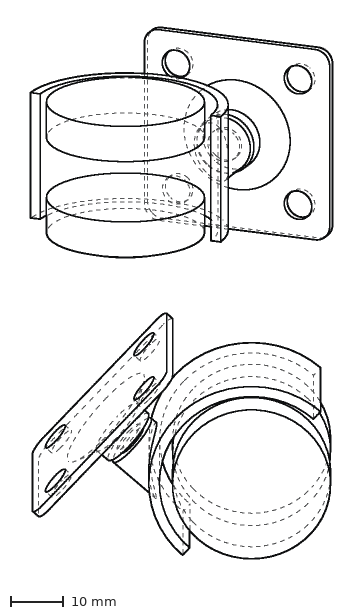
import cadquery as cq

overall_length = 50.5

wheel_radius = 15.0
wheel_gap = 12.0
rim_width = 7.0
dome_height = 3.0

hood_radius = 19.5
hood_wall = 2.0
hood_width = 25.0
post_diameter = 11.0
post_top = 19.7
post_foot = 5.05

plate_side = 38.0
plate_thickness = 1.5
plate_back = 28.0
corner_radius = 3.0
hole_diameter = 5.6
hole_spacing = 25.0

cone_diameter = 21.8
cone_height = 2.85
collar_diameter = 11.7
collar_height = 3.0
neck_diameter = 6.5

hood_inner_radius = hood_radius - hood_wall
swivel_x = overall_length - hood_radius - plate_side / 2
plate_front = plate_back - plate_thickness
collar_top = plate_front - cone_height
collar_bottom = collar_top - collar_height


def swivel_plane(y):
    """Workplane centred on the swivel axis at y, facing +Y."""
    return cq.Workplane(cq.Plane(origin=(swivel_x, y, 0), xDir=(1, 0, 0), normal=(0, 1, 0)))


def make_plate():
    """Square plate with four screw holes and a revolved cone, collar and neck."""
    base = (
        swivel_plane(plate_front)
        .rect(plate_side, plate_side)
        .extrude(plate_thickness)
        .edges("|Y")
        .fillet(corner_radius)
    )
    holes = (
        swivel_plane(plate_front)
        .rect(hole_spacing, hole_spacing, forConstruction=True)
        .vertices()
        .circle(hole_diameter / 2)
        .extrude(plate_thickness)
    )
    seat = (
        cq.Workplane("XY", origin=(swivel_x, 0, 0))
        .moveTo(0, plate_front)
        .lineTo(cone_diameter / 2, plate_front)
        .lineTo(collar_diameter / 2, collar_top)
        .lineTo(collar_diameter / 2, collar_bottom)
        .lineTo(neck_diameter / 2, collar_bottom)
        .lineTo(neck_diameter / 2, post_top)
        .lineTo(0, post_top)
        .close()
        .revolve(360, (0, 0, 0), (0, 1, 0))
    )
    return base.cut(holes).union(seat)


def make_hood():
    """Half-ring hood with a round post that stops at the hood's inner surface."""
    hood = (
        cq.Workplane("XY")
        .moveTo(-hood_radius, 0)
        .threePointArc((0, hood_radius), (hood_radius, 0))
        .lineTo(hood_inner_radius, 0)
        .threePointArc((0, hood_inner_radius), (-hood_inner_radius, 0))
        .close()
        .extrude(hood_width / 2, both=True)
    )
    post = swivel_plane(post_foot).circle(post_diameter / 2).extrude(post_top - post_foot)
    cavity = cq.Workplane("XY").circle(hood_inner_radius).extrude(hood_width / 2, both=True)
    return hood.union(post.cut(cavity))


def make_wheel(side):
    """Disc with a domed outer face; side is +1 for the upper wheel, -1 for the lower one."""
    inner_z = wheel_gap / 2
    rim_z = inner_z + rim_width
    crown_z = rim_z + dome_height
    sphere_radius = (wheel_radius**2 + dome_height**2) / (2 * dome_height)
    mid_x = wheel_radius / 2
    mid_z = crown_z - sphere_radius + (sphere_radius**2 - mid_x**2) ** 0.5
    return (
        cq.Workplane("XZ")
        .moveTo(0, side * inner_z)
        .lineTo(wheel_radius, side * inner_z)
        .lineTo(wheel_radius, side * rim_z)
        .threePointArc((mid_x, side * mid_z), (0, side * crown_z))
        .close()
        .revolve(360, (0, 0, 0), (0, 1, 0))
    )


plate = make_plate()
hood = make_hood()
wheels = [make_wheel(side) for side in (1, -1)]

result = cq.Compound.makeCompound(
    [plate.solids().val(), hood.solids().val(), *[wheel.val() for wheel in wheels]]
)